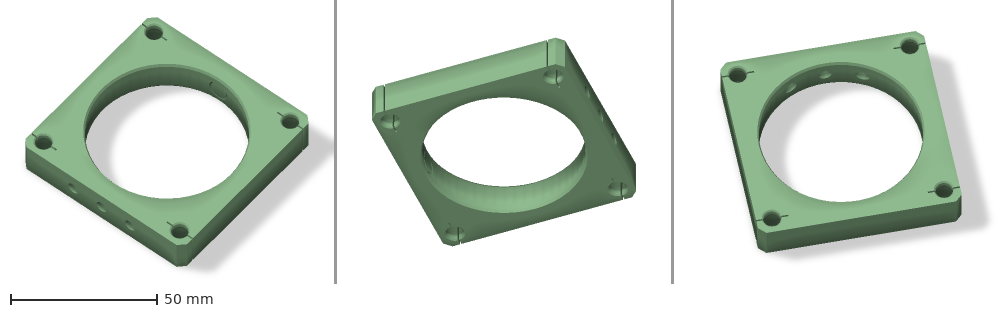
import cadquery as cq
import math

side = 71.1
thickness = 12.5
corner_chamfer = 2.5

bore_diameter = 56.2
bore_chamfer_width = 0.6
bore_chamfer_depth = 1.0

rod_hole_offset = 30.0
rod_hole_diameter = 6.05
rod_hole_chamfer_width = 0.5
rod_hole_chamfer_depth = 0.5
land_length = 1.6
waist_recess = 0.35
waist_taper_length = 1.0
slit_length = 11.2
slit_width = 0.6

side_hole_diameter = 4.4
side_hole_pitch = 12.5
side_hole_count = 3

groove_outer_diameter = 7.95
groove_width = 0.6
groove_depth = 1.4
groove_gap_angle = 90.0


def plate():
    """Square plate, centred on the origin, with bevelled vertical edges."""
    return cq.Workplane("XY").box(side, side, thickness).edges("|Z").chamfer(corner_chamfer)


def revolved_cutter(half_profile):
    """Turn an upper half outline of (radius, height) points into a cutter symmetric about Z = 0."""
    upper = cq.Workplane("XZ").polyline(half_profile).close().revolve(360, (0, 0), (0, 1))
    return upper.union(upper.mirror("XY"))


def bore():
    """Cutter for the central bore, with a steep chamfer at both ends."""
    radius = bore_diameter / 2
    top = thickness / 2
    return revolved_cutter([
        (0, 0),
        (radius, 0),
        (radius, top - bore_chamfer_depth),
        (radius + bore_chamfer_width, top),
        (0, top),
    ])


def rod_hole():
    """Cutter for a corner hole: chamfered mouths, narrow lands and a wider waist between them."""
    radius = rod_hole_diameter / 2
    waist_radius = radius + waist_recess
    top = thickness / 2
    land_top = top - rod_hole_chamfer_depth
    land_bottom = land_top - land_length
    return revolved_cutter([
        (0, 0),
        (waist_radius, 0),
        (waist_radius, land_bottom - waist_taper_length),
        (radius, land_bottom),
        (radius, land_top),
        (radius + rod_hole_chamfer_width, top),
        (0, top),
    ])


def slit(x_sign, y):
    """Cutter for a full-height slit that runs inward from an X side."""
    cutter = cq.Workplane("XY").box(slit_length, slit_width, thickness)
    return cutter.translate((x_sign * (side - slit_length) / 2, y, 0))


def side_holes():
    """Cutter for the row of holes from the -Y side into the bore."""
    wall = cq.Workplane("XZ", origin=(0, -side / 2, 0))
    row = wall.rarray(side_hole_pitch, 0.7, side_hole_count, 1)
    return row.circle(side_hole_diameter / 2).extrude(-side / 2)


def c_groove():
    """Cutter for the ring groove in the +Y bore wall, interrupted by a bridge centred on +Z."""
    outer_radius = groove_outer_diameter / 2
    inner_radius = outer_radius - groove_width
    half_gap = math.radians(groove_gap_angle / 2)

    def end_point(radius, x_sign):
        return (x_sign * radius * math.sin(half_gap), radius * math.cos(half_gap))

    outline = (
        cq.Workplane("XZ")
        .moveTo(*end_point(outer_radius, -1))
        .threePointArc((0, -outer_radius), end_point(outer_radius, 1))
        .lineTo(*end_point(inner_radius, 1))
        .threePointArc((0, -inner_radius), end_point(inner_radius, -1))
        .close()
    )
    return outline.extrude(-(bore_diameter / 2 + groove_depth))


result = plate().cut(bore())
for x_sign in (-1, 1):
    for y_sign in (-1, 1):
        hole_x = x_sign * rod_hole_offset
        hole_y = y_sign * rod_hole_offset
        result = result.cut(rod_hole().translate((hole_x, hole_y, 0)))
        result = result.cut(slit(x_sign, hole_y))
result = result.cut(side_holes())
result = result.cut(c_groove())